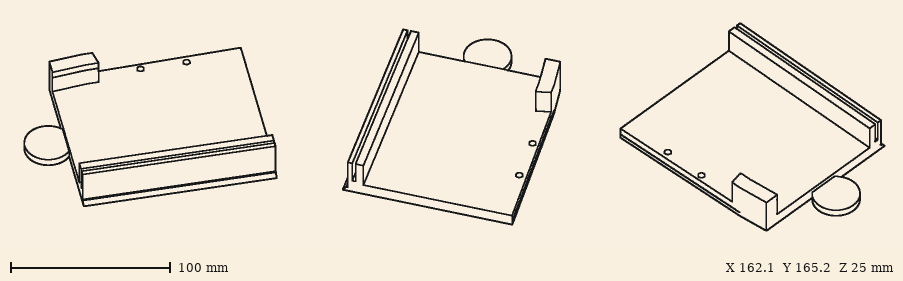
import cadquery as cq

TURN_ANGLE = -45.7

HEIGHT = 25.0
FLOOR_HEIGHT = 8.0
PLATE_WIDTH = 105.7
PLATE_LENGTH = 123.3
BACK_LEFT_U = -4.8
LEFT_LEDGE = 0.2

WALL_LEFT_U = 92.2
WALL_RIGHT_U = 102.5
GROOVE_LEFT_U = 97.3
GROOVE_WIDTH = 2.1
GROOVE_BOTTOM = 9.7

FOOT_HEIGHT = 3.0
FOOT_TOP_U = 103.5

POST_OUTER_BEND = (-2.1, 21.3)
POST_OUTER_END = (-2.3, 28.0)
POST_INNER_END = (7.3, 29.9)
POST_INNER_BEND = (7.5, 21.5)
POST_FRONT_WIDTH = 9.7
LIP_BOTTOM = 20.2
LIP_OVERHANG = 0.2

TAB_CENTER = (50.7, -11.2)
TAB_RADIUS = 15.0
TAB_HEIGHT = 5.0
HOLE_DIAMETER = 4.3
HOLE_CENTERS = [(1.2, 58.0), (1.2, 87.4)]


def make_base():
    """Floor plate in two layers; the lower one juts out slightly on the left."""
    right_side = [(0, 0), (WALL_RIGHT_U, 0), (WALL_RIGHT_U, PLATE_LENGTH)]
    lower_outline = right_side + [(BACK_LEFT_U, PLATE_LENGTH), POST_OUTER_BEND]
    upper_outline = right_side + [
        (BACK_LEFT_U + LEFT_LEDGE, PLATE_LENGTH),
        (POST_OUTER_END[0] + LEFT_LEDGE, POST_OUTER_END[1]),
        POST_OUTER_BEND,
    ]
    lower = cq.Workplane("XY").polyline(lower_outline).close().extrude(FOOT_HEIGHT)
    upper = cq.Workplane("XY").polyline(upper_outline).close().extrude(FLOOR_HEIGHT)
    return lower.union(upper)


def make_wall():
    """Right wall with its sloped foot and the narrow groove in its top."""
    profile = [
        (WALL_LEFT_U, 0),
        (PLATE_WIDTH, 0),
        (FOOT_TOP_U, FOOT_HEIGHT),
        (WALL_RIGHT_U, FOOT_HEIGHT),
        (WALL_RIGHT_U, HEIGHT),
        (GROOVE_LEFT_U + GROOVE_WIDTH, HEIGHT),
        (GROOVE_LEFT_U + GROOVE_WIDTH, GROOVE_BOTTOM),
        (GROOVE_LEFT_U, GROOVE_BOTTOM),
        (GROOVE_LEFT_U, HEIGHT),
        (WALL_LEFT_U, HEIGHT),
    ]
    return cq.Workplane("XZ").polyline(profile).close().extrude(-PLATE_LENGTH)


def make_post_layer(bottom, top, overhang):
    """Slice of the bent post, its inner bend and end moved inward by overhang."""
    outline = [
        (0, 0),
        (POST_FRONT_WIDTH, 0),
        (POST_INNER_BEND[0] + overhang, POST_INNER_BEND[1]),
        (POST_INNER_END[0] + overhang, POST_INNER_END[1]),
        (POST_OUTER_END[0] + LEFT_LEDGE, POST_OUTER_END[1]),
        POST_OUTER_BEND,
    ]
    return cq.Workplane("XY").workplane(offset=bottom).polyline(outline).close().extrude(top - bottom)


def make_post():
    """Full-height bent post with a slight inner lip along its top."""
    body = make_post_layer(0, HEIGHT, 0)
    return body.union(make_post_layer(LIP_BOTTOM, HEIGHT, LIP_OVERHANG))


def make_tab():
    """Low round tab that reaches out past the front face."""
    return cq.Workplane("XY").center(*TAB_CENTER).circle(TAB_RADIUS).extrude(TAB_HEIGHT)


def make_holes():
    """Blind holes beside the left edge, down to the lower floor layer."""
    holes = cq.Workplane("XY").workplane(offset=FOOT_HEIGHT).pushPoints(HOLE_CENTERS)
    return holes.circle(HOLE_DIAMETER / 2).extrude(FLOOR_HEIGHT - FOOT_HEIGHT)


tray = make_base().union(make_wall()).union(make_post()).union(make_tab())
tray = tray.cut(make_holes())
result = tray.rotate((0, 0, 0), (0, 0, 1), TURN_ANGLE)